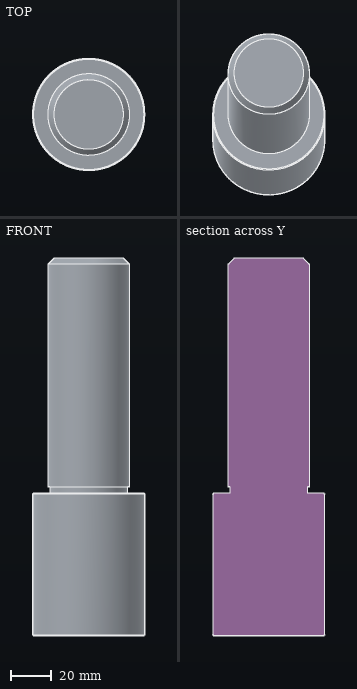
import cadquery as cq

base_diameter = 55.0
base_height = 70.0
base_edge_chamfer = 0.5

overall_height = 185.0
shank_diameter = 40.0
shank_tip_chamfer = 3.0

neck_diameter = 38.0
neck_height = 3.0


def make_base():
    base = cq.Workplane("XY").circle(base_diameter / 2).extrude(base_height)
    return base.edges("%CIRCLE").chamfer(base_edge_chamfer)


def make_neck():
    return (
        cq.Workplane("XY")
        .workplane(offset=base_height)
        .circle(neck_diameter / 2)
        .extrude(neck_height)
    )


def make_shank():
    shank_bottom = base_height + neck_height
    shank = (
        cq.Workplane("XY")
        .workplane(offset=shank_bottom)
        .circle(shank_diameter / 2)
        .extrude(overall_height - shank_bottom)
    )
    return shank.faces(">Z").edges().chamfer(shank_tip_chamfer)


result = make_base().union(make_neck()).union(make_shank())